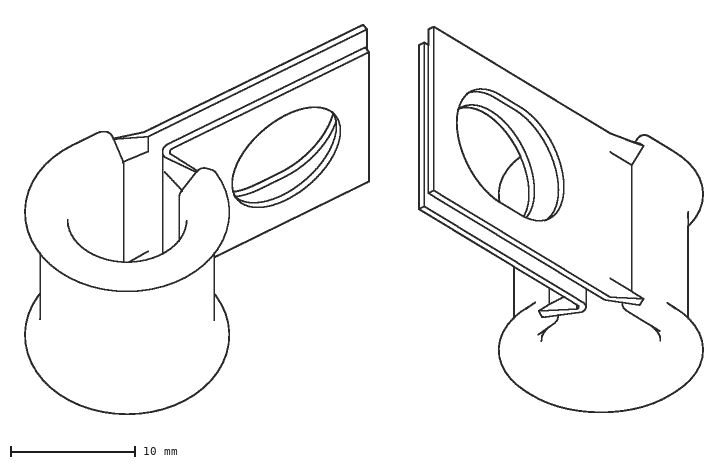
import cadquery as cq
import math

height = 17.53
flange_radius = 8.2
sleeve_radius = 7.0
wall = 2.23
rim_rounding = 0.73
bore_bend_rounding = 1.0
end_rounding = 0.52
ring_angle = 270
straight_run = 3.03

sheet = 0.6
sheet_inner = 5.53
strap_height = 15.8
slotted_strap_tip = 26.57
plain_strap_tip = 25.4
strap_gap = 1.53
bend_radius = 1.0
flared_corner_height = 1.8
flare_start = 5.6
hole_y = 17.45
hole_diameter = 10.35
slot_length = 12.73

tolerance = 3.48e-07
diagonal = math.sqrt(0.5)
bore_radius = sleeve_radius - wall
sheet_outer = sheet_inner + sheet
plain_strap_left = -sheet_inner + strap_gap
plain_bend_end = plain_strap_left + bend_radius


def wall_section():
    """Radial section of the sleeve wall in the XZ plane, on the -X side."""
    half = height / 2
    round_reach = rim_rounding / diagonal
    edge_offset = (wall - 2 * rim_rounding) * diagonal
    tip_r = flange_radius - rim_rounding + round_reach
    tip_z = half - rim_rounding - edge_offset
    crest_r = tip_r - wall * diagonal
    crest_z = tip_z + wall * diagonal
    outer_bend_z = tip_z - (tip_r - sleeve_radius)
    inner_bend_z = crest_z - (crest_r - bore_radius)
    upper = [
        (-sleeve_radius, outer_bend_z),
        (-tip_r, tip_z),
        (-crest_r, crest_z),
        (-bore_radius, inner_bend_z),
    ]
    lower = [(x, -z) for x, z in reversed(upper)]
    corners = [cq.Vector(x, 0, z) for x, z in upper + lower]
    outline = cq.Wire.makePolygon(corners, close=True)
    bore_bends = [v for v in outline.Vertices() if abs(v.X + bore_radius) < tolerance]
    rounded = outline.fillet2D(bore_bend_rounding, bore_bends)
    sharp = [
        v for v in rounded.Vertices() if any((v.Center() - c).Length < tolerance for c in corners)
    ]
    return rounded.fillet2D(rim_rounding, sharp)


def bushing():
    """Sleeve running clockwise from +Y to -X, then straight on along +Y."""
    section = wall_section()
    ring = cq.Solid.revolve(section, [], ring_angle, cq.Vector(0, 0, 0), cq.Vector(0, 0, 1))
    run = cq.Solid.extrudeLinear(section, [], cq.Vector(0, straight_run, 0))
    body = cq.Workplane(ring).union(cq.Workplane(run))
    end_face_points = [(-sleeve_radius, straight_run, 0), (0, sleeve_radius, 0)]
    for point in end_face_points:
        end_face = cq.selectors.NearestToPointSelector(point)
        body = body.faces(end_face).edges().fillet(end_rounding)
    return body


def sheet_section(y, flare_angle):
    """Strap cross-section at y, with both corners folded toward -X by flare_angle.

    The unfolded sheet lies between x = -sheet and x = 0.
    """
    fold_z = strap_height / 2 - flared_corner_height
    lean = flared_corner_height * math.sin(flare_angle)
    rise = flared_corner_height * math.cos(flare_angle)
    far_tip_x = -sheet - lean
    far_tip_z = fold_z + rise
    near_fold_z = fold_z + sheet * math.tan(flare_angle / 2)
    upper = [
        (-sheet, fold_z),
        (far_tip_x, far_tip_z),
        (far_tip_x + sheet * math.cos(flare_angle), far_tip_z + sheet * math.sin(flare_angle)),
        (0, near_fold_z),
    ]
    lower = [(x, -z) for x, z in reversed(upper)]
    corners = [cq.Vector(x, y, z) for x, z in upper + lower]
    return cq.Wire.makePolygon(corners, close=True)


def neck(length):
    """Strap end running from the flat strap at y = 0 to the flared rims at y = -length."""
    flat = sheet_section(0, 0)
    flared = sheet_section(-length, math.radians(45))
    return cq.Workplane(cq.Solid.makeLoft([flat, flared], True))


def slotted_strap():
    """Flat strap on the straight end of the bushing, with a slot along Y."""
    length = slotted_strap_tip - flare_start
    plate = (
        cq.Workplane("XY")
        .box(sheet, length, strap_height)
        .translate((-sheet_inner - sheet / 2, flare_start + length / 2, 0))
    )
    slot = (
        cq.Workplane("YZ", origin=(-sheet_inner, hole_y, 0))
        .slot2D(slot_length, hole_diameter)
        .extrude(2 * sheet, both=True)
    )
    end = neck(flare_start - straight_run).translate((-sheet_inner, flare_start, 0))
    return plate.cut(slot).union(end)


def plain_strap():
    """Bent strap on the +Y end of the bushing, with a round hole in line with the slot."""
    inner_x = plain_strap_left + sheet
    strap = (
        cq.Workplane("XY")
        .moveTo(plain_strap_left, plain_strap_tip)
        .lineTo(plain_strap_left, sheet_inner + bend_radius)
        .radiusArc((plain_bend_end, sheet_inner), -bend_radius)
        .lineTo(plain_bend_end, sheet_outer)
        .radiusArc((inner_x, sheet_inner + bend_radius), bend_radius - sheet)
        .lineTo(inner_x, plain_strap_tip)
        .close()
        .extrude(strap_height / 2, both=True)
    )
    hole = (
        cq.Workplane("YZ", origin=(plain_strap_left, hole_y, 0))
        .circle(hole_diameter / 2)
        .extrude(2 * sheet, both=True)
    )
    end = (
        neck(-plain_bend_end)
        .mirror("YZ")
        .rotate((0, 0, 0), (0, 0, 1), 90)
        .translate((plain_bend_end, sheet_inner, 0))
    )
    return strap.cut(hole).union(end)


result = bushing().union(slotted_strap()).union(plain_strap())